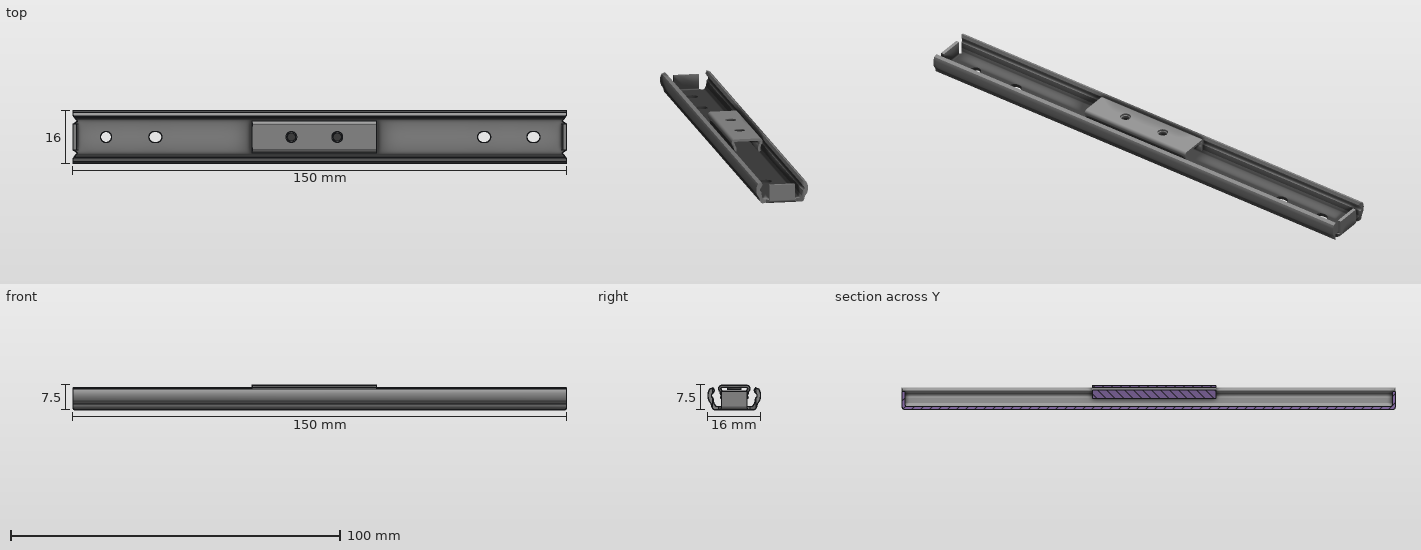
import cadquery as cq
import math

RAIL_LENGTH = 150.0
RAIL_WIDTH = 16.0
RAIL_SHEET = 1.0

TRACK_Z = 4.4

BULGE_TOP = (7.5, 6.3)
BULGE_BOTTOM = (7.6, 2.7)
LIP_OUTER = (6.5, 6.8)
LIP_INNER = (6.0, 5.8)
RAIL_TRACK_DEEPEST_Y = 6.9
RAIL_TRACK_EDGE_Y = 6.5
RAIL_TRACK_HALF_HEIGHT = 0.8
WAIST_OUTER = (7.0, 1.8)
WAIST_INNER = (6.2, 2.0)

FLOOR_HALF_WIDTH = 6.6
FLOOR_INNER_HALF_WIDTH = 5.5
BEND_OUTER_RADIUS = 1.2
BEND_INNER_RADIUS = 0.5

STOP_WIDTH = 7.8
STOP_HEIGHT = 5.7
STOP_OUTER_RADIUS = 0.9
STOP_INNER_RADIUS = 0.5
NOTCH_OUTER_Y = 6.6
NOTCH_TIP_Y = 4.8
NOTCH_DEPTH = 1.4

HOLE_DIAMETER = 3.3
SLOT_LENGTH = 3.9
ROUND_HOLE_X = -65.0
SLOT_XS = (-50.0, 50.0, 65.0)

CARRIAGE_SHEET = 0.8
CARRIAGE_LENGTH = 37.8
CARRIAGE_X = -1.6
CARRIAGE_TOP = 7.5
CARRIAGE_FLAT_WIDTH = 7.5
CURL_RADIUS = 1.0
CURL_END_ANGLE = -60.0
GROOVE_Y = 5.2
GROOVE_RADIUS = 1.2
GROOVE_TOP_ANGLE = 145.0
GROOVE_BOTTOM_ANGLE = 214.0
COLLAR_DIAMETER = 4.2
COLLAR_HEIGHT = 1.4
SCREW_HOLE_DIAMETER = 2.5
COUNTERBORE_DIAMETER = 3.3
COUNTERBORE_DEPTH = 0.6
SCREW_SPACING = 14.0


def groove_point(radius, angle):
    """Point (y, z) on a circle about the centre of the carriage's ball groove."""
    turn = math.radians(angle)
    return (GROOVE_Y + radius * math.cos(turn), TRACK_Z + radius * math.sin(turn))


def extrude_section(half, length, centre_x):
    """Extrude a half section along X and mirror it about the XZ plane."""
    side = half.extrude(length).translate((centre_x - length / 2, 0, 0))
    return side.union(side.mirror("XZ"))


def rail_profile():
    """Floor, bends and bulged side walls with a ball track inside each."""
    half = (
        cq.Workplane("YZ")
        .moveTo(0, 0)
        .lineTo(FLOOR_HALF_WIDTH, 0)
        .lineTo(*WAIST_OUTER)
        .lineTo(*BULGE_BOTTOM)
        .threePointArc((RAIL_WIDTH / 2, TRACK_Z), BULGE_TOP)
        .lineTo(*LIP_OUTER)
        .lineTo(*LIP_INNER)
        .lineTo(RAIL_TRACK_EDGE_Y, TRACK_Z + RAIL_TRACK_HALF_HEIGHT)
        .threePointArc((RAIL_TRACK_DEEPEST_Y, TRACK_Z),
                       (RAIL_TRACK_EDGE_Y, TRACK_Z - RAIL_TRACK_HALF_HEIGHT))
        .lineTo(*WAIST_INNER)
        .lineTo(FLOOR_INNER_HALF_WIDTH, RAIL_SHEET)
        .lineTo(0, RAIL_SHEET)
        .close()
    )
    profile = extrude_section(half, RAIL_LENGTH, 0)
    for y in (-FLOOR_HALF_WIDTH, FLOOR_HALF_WIDTH):
        profile = profile.edges(cq.NearestToPointSelector((0, y, 0))).fillet(BEND_OUTER_RADIUS)
    for y in (-FLOOR_INNER_HALF_WIDTH, FLOOR_INNER_HALF_WIDTH):
        profile = profile.edges(cq.NearestToPointSelector((0, y, RAIL_SHEET))).fillet(BEND_INNER_RADIUS)
    return profile


def end_notches():
    """V-shaped reliefs on both sides of each end stop."""
    end = RAIL_LENGTH / 2
    notch = (
        cq.Workplane("XY")
        .polyline([
            (end, STOP_WIDTH / 2),
            (end - NOTCH_DEPTH, NOTCH_TIP_Y),
            (end, NOTCH_OUTER_Y),
        ])
        .close()
        .extrude(CARRIAGE_TOP)
    )
    pair = notch.union(notch.mirror("XZ"))
    return pair.union(pair.mirror("YZ"))


def end_stop():
    """Tab at the +X end, bent up from the floor."""
    end = RAIL_LENGTH / 2
    tab = (
        cq.Workplane("XZ", origin=(0, STOP_WIDTH / 2, 0))
        .moveTo(end, 0)
        .lineTo(end, STOP_HEIGHT)
        .lineTo(end - RAIL_SHEET, STOP_HEIGHT)
        .lineTo(end - RAIL_SHEET, RAIL_SHEET + STOP_INNER_RADIUS)
        .radiusArc((end - RAIL_SHEET - STOP_INNER_RADIUS, RAIL_SHEET), STOP_INNER_RADIUS)
        .lineTo(end - RAIL_SHEET - STOP_INNER_RADIUS, 0)
        .close()
        .extrude(STOP_WIDTH)
    )
    return tab


def rail_holes():
    """One round hole and three short slots along the centre line."""
    holes = cq.Workplane("XY").center(ROUND_HOLE_X, 0).circle(HOLE_DIAMETER / 2).extrude(RAIL_SHEET)
    slots = (
        cq.Workplane("XY")
        .pushPoints([(x, 0) for x in SLOT_XS])
        .slot2D(SLOT_LENGTH, HOLE_DIAMETER)
        .extrude(RAIL_SHEET)
    )
    return holes.union(slots)


def make_rail():
    rail = rail_profile().cut(end_notches())
    stop = end_stop()
    rail = rail.union(stop).union(stop.mirror("YZ"))
    for x in (-RAIL_LENGTH / 2, RAIL_LENGTH / 2):
        rail = rail.edges(cq.NearestToPointSelector((x, 0, 0))).fillet(STOP_OUTER_RADIUS)
    return rail.cut(rail_holes())


def curl_point(radius, angle):
    """Point (y, z) on a circle about the centre of the carriage's curled edge."""
    turn = math.radians(angle)
    centre_z = CARRIAGE_TOP - CURL_RADIUS
    return (CARRIAGE_FLAT_WIDTH / 2 + radius * math.cos(turn), centre_z + radius * math.sin(turn))


def carriage_profile():
    """Flat top with edges that curl down and in, then around the ball grooves."""
    inner_curl = CURL_RADIUS - CARRIAGE_SHEET
    wall_radius = GROOVE_RADIUS + CARRIAGE_SHEET
    groove_middle = (GROOVE_TOP_ANGLE + GROOVE_BOTTOM_ANGLE) / 2
    half = (
        cq.Workplane("YZ")
        .moveTo(0, CARRIAGE_TOP)
        .lineTo(*curl_point(CURL_RADIUS, 90))
        .threePointArc(curl_point(CURL_RADIUS, 0), curl_point(CURL_RADIUS, CURL_END_ANGLE))
        .lineTo(*groove_point(GROOVE_RADIUS, GROOVE_TOP_ANGLE))
        .threePointArc(groove_point(GROOVE_RADIUS, groove_middle),
                       groove_point(GROOVE_RADIUS, GROOVE_BOTTOM_ANGLE))
        .lineTo(*groove_point(wall_radius, GROOVE_BOTTOM_ANGLE))
        .threePointArc(groove_point(wall_radius, groove_middle),
                       groove_point(wall_radius, GROOVE_TOP_ANGLE))
        .lineTo(*curl_point(inner_curl, CURL_END_ANGLE))
        .threePointArc(curl_point(inner_curl, 0), curl_point(inner_curl, 90))
        .lineTo(0, CARRIAGE_TOP - CARRIAGE_SHEET)
        .close()
    )
    return extrude_section(half, CARRIAGE_LENGTH, CARRIAGE_X)


def make_carriage():
    screw_xs = (CARRIAGE_X - SCREW_SPACING / 2, CARRIAGE_X + SCREW_SPACING / 2)
    centres = [(x, 0) for x in screw_xs]
    base = cq.Workplane("XY", origin=(0, 0, CARRIAGE_TOP - COLLAR_HEIGHT)).pushPoints(centres)
    collars = base.circle(COLLAR_DIAMETER / 2).extrude(COLLAR_HEIGHT)
    bores = base.circle(SCREW_HOLE_DIAMETER / 2).extrude(COLLAR_HEIGHT)
    counterbores = (
        cq.Workplane("XY", origin=(0, 0, CARRIAGE_TOP - COUNTERBORE_DEPTH))
        .pushPoints(centres)
        .circle(COUNTERBORE_DIAMETER / 2)
        .extrude(COUNTERBORE_DEPTH)
    )
    return carriage_profile().union(collars).cut(bores).cut(counterbores)


rail = make_rail()
carriage = make_carriage()

result = cq.Compound.makeCompound([rail.val(), carriage.val()])